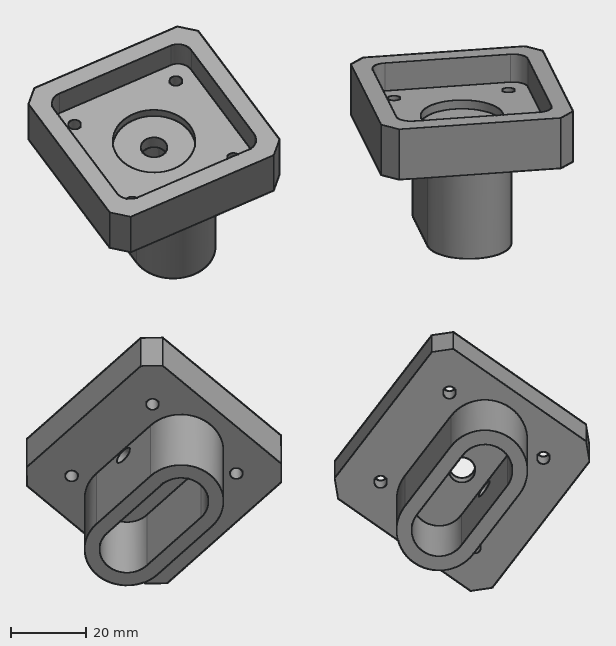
import cadquery as cq

head_width = 52.0
head_height = 14.5
corner_chamfer = 4.1

stem_length = 43.3
stem_width = 22.6
stem_height = 26.0
stem_wall = 4.0
total_height = stem_height + head_height

pocket_width = 42.0
pocket_corner_radius = 4.0
pocket_depth = 8.0

collar_diameter = 22.0
collar_depth = 2.5

shaft_diameter = 7.0
screw_diameter = 3.4
screw_spacing = 31.0

access_hole_diameter = 5.0
access_hole_drop = 3.0

pocket_floor = total_height - pocket_depth


def make_head():
    return (
        cq.Workplane("XY", origin=(0, 0, stem_height))
        .rect(head_width, head_width)
        .extrude(head_height)
        .edges("|Z")
        .chamfer(corner_chamfer)
    )


def make_oblong(length, width):
    return cq.Workplane("XY").slot2D(length, width).extrude(stem_height)


def make_stem():
    return make_oblong(stem_length, stem_width)


def make_stem_cavity():
    return make_oblong(stem_length - 2 * stem_wall, stem_width - 2 * stem_wall)


def make_pocket():
    return (
        cq.Workplane("XY", origin=(0, 0, pocket_floor))
        .rect(pocket_width, pocket_width)
        .extrude(pocket_depth)
        .edges("|Z")
        .fillet(pocket_corner_radius)
    )


def make_collar_recess():
    return (
        cq.Workplane("XY", origin=(0, 0, pocket_floor - collar_depth))
        .circle(collar_diameter / 2)
        .extrude(collar_depth)
    )


def make_shaft_bore():
    return cq.Workplane("XY").circle(shaft_diameter / 2).extrude(total_height)


def make_screw_holes():
    return (
        cq.Workplane("XY")
        .rect(screw_spacing, screw_spacing, forConstruction=True)
        .vertices()
        .circle(screw_diameter / 2)
        .extrude(total_height)
    )


def make_access_hole():
    return (
        cq.Workplane("XZ", origin=(0, -stem_width / 2, stem_height - access_hole_drop))
        .circle(access_hole_diameter / 2)
        .extrude(-stem_wall)
    )


result = (
    make_head()
    .union(make_stem())
    .cut(make_stem_cavity())
    .cut(make_pocket())
    .cut(make_collar_recess())
    .cut(make_shaft_bore())
    .cut(make_screw_holes())
    .cut(make_access_hole())
)